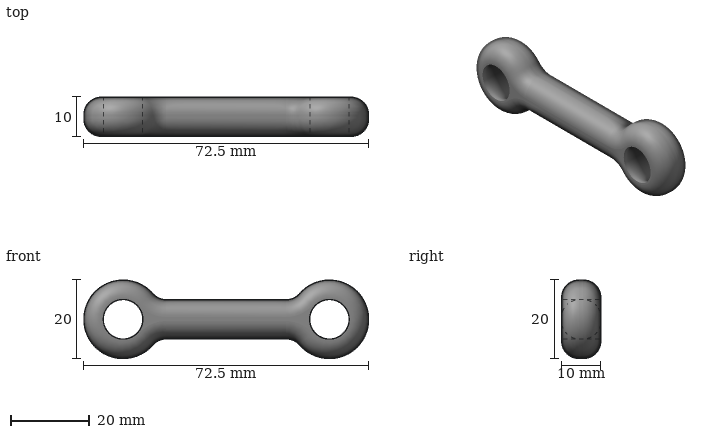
import cadquery as cq

length = 72.5
eye_diameter = 20.0
thickness = 10.0
bar_height = 10.0
hole_diameter = 10.0

neck_radius = 4.5
edge_radius = 4.5

eye_spacing = length - eye_diameter
eye_centers = [(-eye_spacing / 2, 0), (eye_spacing / 2, 0)]


def eye_cylinders(diameter):
    """One cylinder along Y at each eye, as deep as the link is thick."""
    return (
        cq.Workplane("XZ", origin=(0, thickness / 2, 0))
        .pushPoints(eye_centers)
        .circle(diameter / 2)
        .extrude(thickness)
    )


def link_blank():
    """Two round eyes joined by a bar, still with sharp edges."""
    bar = cq.Workplane("XY").box(eye_spacing, thickness, bar_height)
    return eye_cylinders(eye_diameter).union(bar)


def round_link(blank):
    """Blend the four inside corners, then round the whole front and back outline."""
    corners = cq.selectors.BoxSelector(
        (-eye_spacing / 2, -thickness, -bar_height),
        (eye_spacing / 2, thickness, bar_height),
    )
    blended = blank.edges("|Y").edges(corners).fillet(neck_radius)
    return blended.faces("<Y or >Y").edges().fillet(edge_radius)


result = round_link(link_blank()).cut(eye_cylinders(hole_diameter))